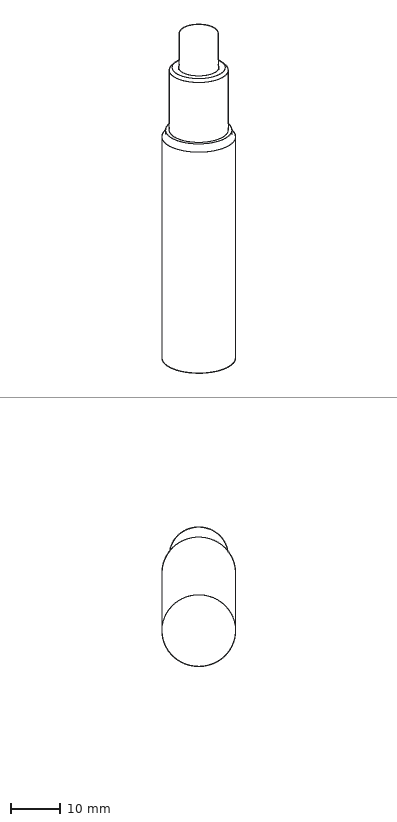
import cadquery as cq

body_diameter = 15.0
body_top = 49.5
collar_diameter = 13.5
collar_top = 51.0
collar_root_fillet = 0.5
neck_diameter = 12.0
neck_top = 65.0
neck_chamfer = 0.6

bore_diameter = 8.2
bore_bottom = collar_top

plunger_diameter = 8.0
plunger_top = 73.0
plunger_tip_fillet = 0.5


def cylinder(diameter, bottom, top):
    """Round bar on the Z axis between two heights."""
    return cq.Workplane("XY").workplane(offset=bottom).circle(diameter / 2).extrude(top - bottom)


def make_housing():
    body_radius = body_diameter / 2
    collar_radius = collar_diameter / 2
    neck_radius = neck_diameter / 2
    profile = (
        cq.Workplane("XZ")
        .moveTo(0, 0)
        .lineTo(body_radius, 0)
        .lineTo(body_radius, body_top)
        .lineTo(collar_radius + collar_root_fillet, body_top)
        .radiusArc((collar_radius, body_top + collar_root_fillet), collar_root_fillet)
        .lineTo(collar_radius, collar_top)
        .lineTo(neck_radius, collar_top)
        .lineTo(neck_radius, neck_top - neck_chamfer)
        .lineTo(neck_radius - neck_chamfer, neck_top)
        .lineTo(0, neck_top)
        .close()
    )
    housing = profile.revolve(360, (0, 0, 0), (0, 1, 0))
    return housing.cut(cylinder(bore_diameter, bore_bottom, neck_top))


def make_plunger():
    plunger = cylinder(plunger_diameter, bore_bottom, plunger_top)
    return plunger.faces(">Z").edges().fillet(plunger_tip_fillet)


housing = make_housing()
plunger = make_plunger()

result = cq.Compound.makeCompound([housing.val(), plunger.val()])